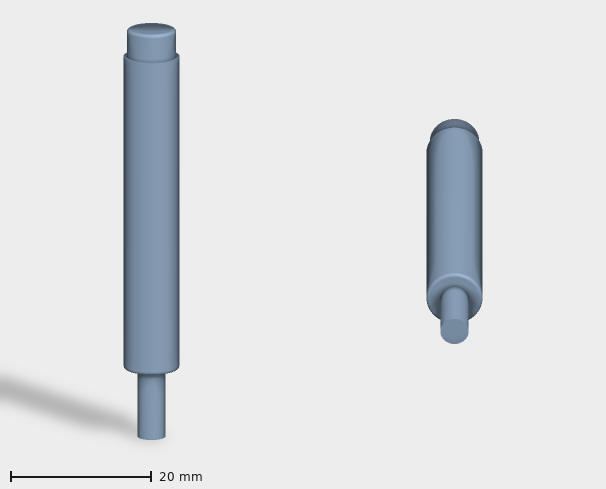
import cadquery as cq

total_length = 60.0
cable_length = 10.0
cap_length = 4.0
body_length = total_length - cable_length - cap_length

body_diameter = 8.0
cap_diameter = 7.0
cable_diameter = 4.0

edge_radius = 0.5


def cable():
    """Plain round cable leaving the lower end."""
    return cq.Workplane("XY").circle(cable_diameter / 2).extrude(cable_length)


def body():
    """Main barrel with a rounded edge at the cable end."""
    barrel = cq.Workplane("XY").workplane(offset=cable_length).circle(body_diameter / 2).extrude(body_length)
    return barrel.faces("<Z").edges().fillet(edge_radius)


def cap():
    """Reduced-diameter sensing tip with a rounded top edge."""
    tip = (
        cq.Workplane("XY")
        .workplane(offset=cable_length + body_length)
        .circle(cap_diameter / 2)
        .extrude(cap_length)
    )
    return tip.faces(">Z").edges().fillet(edge_radius)


result = cable().union(body()).union(cap())